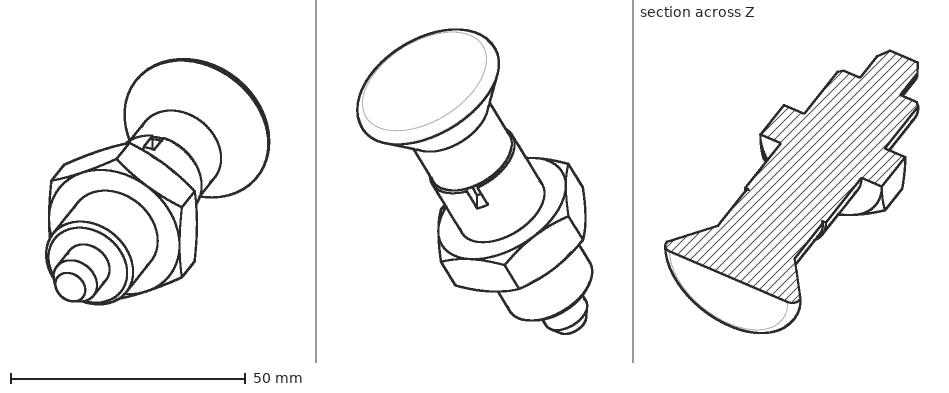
import cadquery as cq
import math

total_length = 74.0

pin_diameter = 10.0
pin_tip_diameter = 6.9
pin_tip_length = 2.8
pin_length = 10.0

sleeve_diameter = 20.0
sleeve_length = 40.0
sleeve_chamfer = 0.95

slot_width = 2.5
slot_length = 5.25
slot_depth = 4.45

nut_across_flats = 30.0
nut_start = 25.0
nut_thickness = 10.0
nut_chamfer_angle = 30.0

neck_diameter = 19.0
knob_diameter = 33.0
neck_chamfer = 0.4
neck_end = 62.3
rim_thickness = 2.2
rim_fillet = 1.9

sleeve_end = pin_length + sleeve_length
tip_y = -total_length / 2


def revolve_profile(points):
    """Revolve a closed (radius, distance from the tip) profile about the Y axis."""
    profile = cq.Workplane("XY").polyline(points).close()
    return profile.revolve(360, (0, 0, 0), (0, 1, 0))


def make_pin_and_sleeve():
    sleeve_radius = sleeve_diameter / 2
    return revolve_profile([
        (0, 0),
        (pin_tip_diameter / 2, 0),
        (pin_diameter / 2, pin_tip_length),
        (pin_diameter / 2, pin_length),
        (sleeve_radius - sleeve_chamfer, pin_length),
        (sleeve_radius, pin_length + sleeve_chamfer),
        (sleeve_radius, sleeve_end),
        (0, sleeve_end),
    ])


def cut_slots(body):
    slot_offset = (sleeve_diameter - slot_depth) / 2
    for side in (1, -1):
        slot = cq.Workplane("XY").box(slot_width, slot_length, slot_depth)
        slot = slot.translate((0, sleeve_end - slot_length / 2, side * slot_offset))
        body = body.cut(slot)
    return body


def make_nut():
    """Hexagon with two corners on the Z axis and both faces chamfered."""
    corner_radius = nut_across_flats / math.sqrt(3)
    face_radius = nut_across_flats / 2
    chamfer_drop = (corner_radius - face_radius) * math.tan(math.radians(nut_chamfer_angle))
    nut_end = nut_start + nut_thickness
    hexagon = (
        cq.Workplane("XZ", origin=(0, nut_end, 0))
        .transformed(rotate=(0, 0, 90))
        .polygon(6, 2 * corner_radius)
        .extrude(nut_thickness)
    )
    chamfer_envelope = revolve_profile([
        (0, nut_start),
        (face_radius, nut_start),
        (corner_radius, nut_start + chamfer_drop),
        (corner_radius, nut_end - chamfer_drop),
        (face_radius, nut_end),
        (0, nut_end),
    ])
    return hexagon.intersect(chamfer_envelope)


def make_knob():
    """Chamfered neck, conical flare and a rim rounded off into the end face."""
    neck_radius = neck_diameter / 2
    knob_radius = knob_diameter / 2
    knob = revolve_profile([
        (0, sleeve_end),
        (neck_radius - neck_chamfer, sleeve_end),
        (neck_radius, sleeve_end + neck_chamfer),
        (neck_radius, neck_end),
        (knob_radius, total_length - rim_thickness),
        (knob_radius, total_length),
        (0, total_length),
    ])
    return knob.faces(">Y").edges().fillet(rim_fillet)


body = cut_slots(make_pin_and_sleeve())
result = body.union(make_nut()).union(make_knob()).translate((0, tip_y, 0))